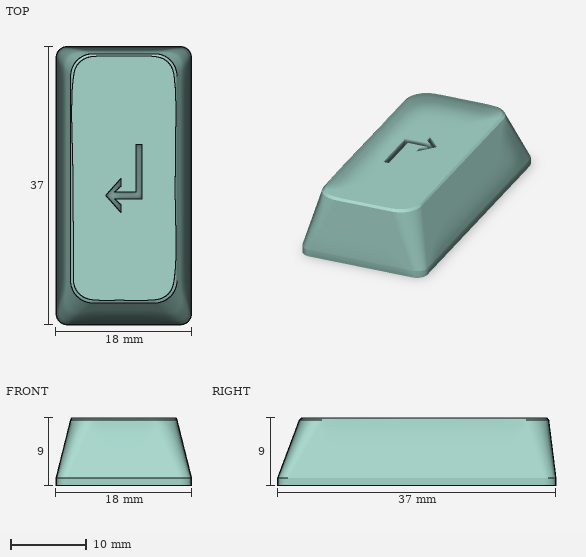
import cadquery as cq

base_width = 18.0
base_length = 37.0
base_corner_radius = 1.5
skirt_height = 1.0

total_height = 9.0
side_inset = 2.0
front_inset = 3.0
back_inset = 1.0
top_corner_radius = 3.0
rim_chamfer = 0.3

arrow_tip_x = -2.4
arrow_center_y = -1.3
barb_end_x = -0.4
barb_outer_half_span = 2.25
barb_inner_half_span = 1.22
notch_x = -1.23
shaft_thickness = 0.9
stem_right_x = 2.43
stem_thickness = 0.8
stem_top_y = 5.45
arrow_depth = 1.0

top_width = base_width - 2 * side_inset
top_length = base_length - front_inset - back_inset
top_center_y = (front_inset - back_inset) / 2


def rounded_rectangle(width, length, radius):
    """Flat rectangle, centred on the origin, with rounded corners."""
    return cq.Sketch().rect(width, length).vertices().fillet(radius)


def make_skirt(outline):
    return cq.Workplane("XY").placeSketch(outline).extrude(skirt_height)


def make_crown(lower_outline):
    """Ruled loft to the smaller top, with its upper rim chamfered."""
    upper_outline = rounded_rectangle(top_width, top_length, top_corner_radius)
    upper_location = cq.Location(cq.Vector(0, top_center_y, total_height - skirt_height))
    crown = (
        cq.Workplane("XY", origin=(0, 0, skirt_height))
        .placeSketch(lower_outline, upper_outline.moved(upper_location))
        .loft(ruled=True)
    )
    return crown.faces(">Z").edges().chamfer(rim_chamfer)


def make_arrow_cutter():
    """Left-pointing arrow whose shaft turns up into a stem at the right."""
    shaft_top_y = arrow_center_y + shaft_thickness / 2
    shaft_bottom_y = arrow_center_y - shaft_thickness / 2
    stem_left_x = stem_right_x - stem_thickness
    outline = [
        (arrow_tip_x, arrow_center_y),
        (barb_end_x, arrow_center_y + barb_outer_half_span),
        (barb_end_x, arrow_center_y + barb_inner_half_span),
        (notch_x, shaft_top_y),
        (stem_left_x, shaft_top_y),
        (stem_left_x, stem_top_y),
        (stem_right_x, stem_top_y),
        (stem_right_x, shaft_bottom_y),
        (notch_x, shaft_bottom_y),
        (barb_end_x, arrow_center_y - barb_inner_half_span),
        (barb_end_x, arrow_center_y - barb_outer_half_span),
    ]
    return cq.Workplane("XY", origin=(0, 0, total_height)).polyline(outline).close().extrude(-arrow_depth)


base_outline = rounded_rectangle(base_width, base_length, base_corner_radius)
keycap = make_skirt(base_outline).union(make_crown(base_outline))
result = keycap.cut(make_arrow_cutter())